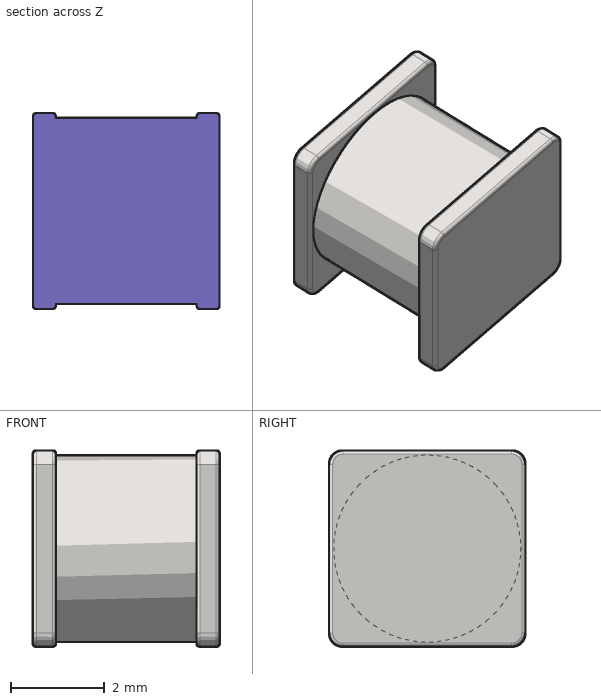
import cadquery as cq

flange_side = 4.2
overall_length = 4.0
flange_thickness = 0.5
core_diameter = 4.0
corner_radius = 0.3
edge_fillet = 0.08

flange_offset = (overall_length - flange_thickness) / 2


def make_flange(center_x):
    """Square plate with rounded corners and softened rims on both faces."""
    return (
        cq.Workplane("XY")
        .box(flange_thickness, flange_side, flange_side)
        .edges("|X")
        .fillet(corner_radius)
        .faces("<X or >X")
        .edges()
        .fillet(edge_fillet)
        .translate((center_x, 0, 0))
    )


core_length = overall_length - flange_thickness
result = cq.Workplane("YZ").circle(core_diameter / 2).extrude(core_length / 2, both=True)

for side in (-1, 1):
    result = result.union(make_flange(side * flange_offset))